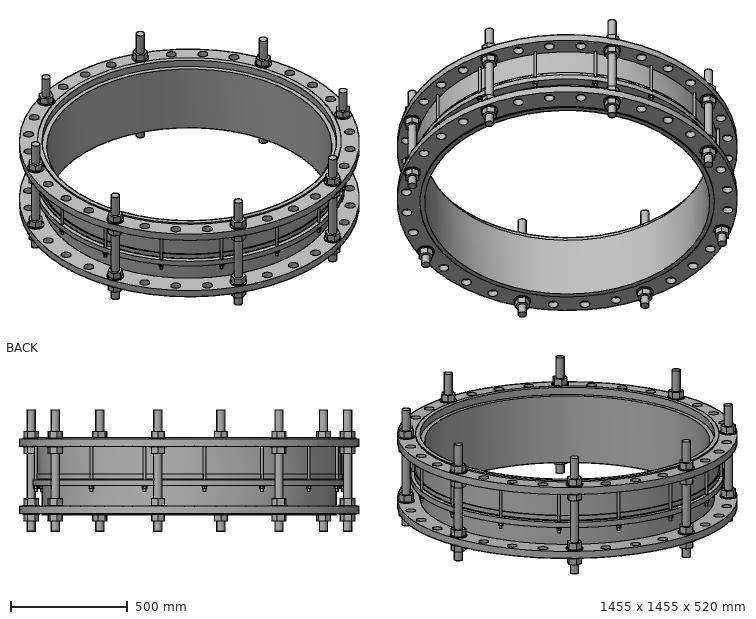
import cadquery as cq
import math

flange_diameter = 1455
flange_thickness = 32
face_projection = 6
sleeve_outer_diameter = 1300
pipe_outer_diameter = 1260
pipe_bore_diameter = 1220
upper_flange_bottom_z = 104
lower_flange_top_z = -152
spigot_top_z = 110

gland_diameter = 1340
gland_top_z = -40
gland_thickness = 24
sleeve_collar_height = 21
seal_exposed_height = 4
sleeve_collar_diameter = 1310
seal_diameter = 1300

bolt_circle_diameter = 1380
bolt_hole_count = 32
bolt_hole_diameter = 42
tie_rod_count = 8
tie_rod_diameter = 36
tie_rod_length = 520
tie_nut_across_flats = 55
tie_nut_height = 29
tie_washer_diameter = 72
tie_washer_thickness = 3

stud_count = 16
stud_circle_diameter = 1320
stud_diameter = 12
stud_bottom_z = -90
stud_washer_diameter = 24
stud_washer_thickness = 2.5
stud_nut_across_flats = 18
stud_nut_height = 10

upper_flange_top_z = upper_flange_bottom_z + flange_thickness
lower_flange_bottom_z = lower_flange_top_z - flange_thickness
sleeve_top_z = upper_flange_top_z + face_projection
spigot_bottom_z = lower_flange_bottom_z - face_projection
collar_bottom_z = gland_top_z + seal_exposed_height
sleeve_bottom_z = collar_bottom_z + sleeve_collar_height
gland_bottom_z = gland_top_z - gland_thickness
bolt_hole_pitch = 360 / bolt_hole_count
tie_rod_pitch = 360 / tie_rod_count
tie_rod_start = -bolt_hole_pitch
stud_pitch = 360 / stud_count
stud_start = stud_pitch / 4
hexagon_corner_ratio = 1 / math.cos(math.pi / 6)


def disc(diameter, bottom_z, top_z):
    return cq.Workplane("XY").workplane(offset=bottom_z).circle(diameter / 2).extrude(top_z - bottom_z)


def ring(outer_diameter, inner_diameter, bottom_z, top_z):
    outline = cq.Workplane("XY").workplane(offset=bottom_z)
    return outline.circle(outer_diameter / 2).circle(inner_diameter / 2).extrude(top_z - bottom_z)


def hexagon(across_flats, bottom_z, top_z):
    corners = across_flats * hexagon_corner_ratio
    return cq.Workplane("XY").workplane(offset=bottom_z).polygon(6, corners).extrude(top_z - bottom_z)


def around(feature, circle_diameter, start_angle, pitch, count):
    """Copies of a feature built on the Z axis, moved onto a circle about Z.

    The first copy keeps its own orientation; the others turn with their angle from it.
    """
    radius = circle_diameter / 2
    angle = math.radians(start_angle)
    first = feature.translate((radius * math.cos(angle), radius * math.sin(angle), 0))
    return [first.rotate((0, 0, 0), (0, 0, 1), index * pitch).val() for index in range(count)]


def nut_and_washer(seat_z, direction, across_flats, nut_height, washer_diameter, washer_thickness):
    """Nut on a washer seated at seat_z; direction is +1 upwards, -1 downwards."""
    washer_end_z = seat_z + direction * washer_thickness
    nut_end_z = washer_end_z + direction * nut_height
    washer = disc(washer_diameter, min(seat_z, washer_end_z), max(seat_z, washer_end_z))
    nut = hexagon(across_flats, min(washer_end_z, nut_end_z), max(washer_end_z, nut_end_z))
    return washer.union(nut)


def flange(bore_diameter, bottom_z):
    plate = ring(flange_diameter, bore_diameter, bottom_z, bottom_z + flange_thickness)
    holes = cq.Workplane("XY").workplane(offset=bottom_z)
    holes = holes.polarArray(bolt_circle_diameter / 2, 0, 360, bolt_hole_count)
    holes = holes.circle(bolt_hole_diameter / 2).extrude(flange_thickness)
    return plate.cut(holes)


def tie_rod():
    rod = disc(tie_rod_diameter, -tie_rod_length / 2, tie_rod_length / 2)
    seats = [
        (upper_flange_top_z, 1),
        (upper_flange_bottom_z, -1),
        (lower_flange_top_z, 1),
        (lower_flange_bottom_z, -1),
    ]
    for seat_z, direction in seats:
        rod = rod.union(
            nut_and_washer(
                seat_z,
                direction,
                tie_nut_across_flats,
                tie_nut_height,
                tie_washer_diameter,
                tie_washer_thickness,
            )
        )
    return rod


def gland_stud():
    stud = disc(stud_diameter, stud_bottom_z, upper_flange_bottom_z)
    return stud.union(
        nut_and_washer(
            gland_bottom_z,
            -1,
            stud_nut_across_flats,
            stud_nut_height,
            stud_washer_diameter,
            stud_washer_thickness,
        )
    )


def upper_body():
    sleeve = ring(sleeve_outer_diameter, pipe_outer_diameter, sleeve_bottom_z, sleeve_top_z)
    return sleeve.union(flange(pipe_outer_diameter, upper_flange_bottom_z))


def spigot():
    pipe = ring(pipe_outer_diameter, pipe_bore_diameter, spigot_bottom_z, spigot_top_z)
    return pipe.union(flange(pipe_bore_diameter, lower_flange_bottom_z))


def gland_ring():
    return ring(gland_diameter, pipe_outer_diameter, gland_bottom_z, gland_top_z)


def sleeve_collar():
    return ring(sleeve_collar_diameter, pipe_outer_diameter, collar_bottom_z, sleeve_bottom_z)


def seal():
    return ring(seal_diameter, pipe_outer_diameter, gland_top_z, collar_bottom_z)


tie_rods = around(tie_rod(), bolt_circle_diameter, tie_rod_start, tie_rod_pitch, tie_rod_count)
gland_studs = around(gland_stud(), stud_circle_diameter, stud_start, stud_pitch, stud_count)

body = upper_body().union(spigot()).union(gland_ring()).union(sleeve_collar()).union(seal())
result = cq.Workplane(body.val().fuse(*tie_rods, *gland_studs))